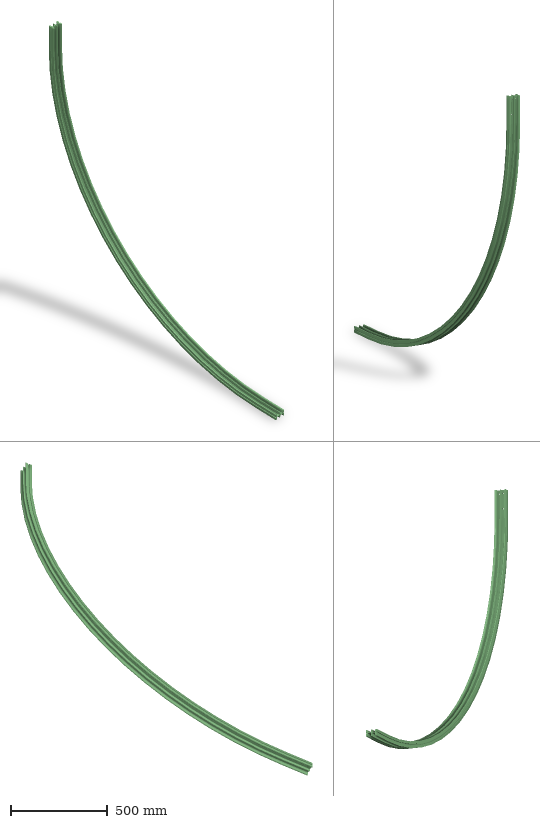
import cadquery as cq

overall = 1667.0
width = 62.0
depth = 35.0
straight = 150.0
bend_radius = overall - straight

flange_edge = 5.0
flange_tip = 7.5
flange_root = 10.8
tip_bevel_height = 2.0
rib_tip = 2.7
rib_root = 5.0
floor_thickness = 3.0
groove_width = 7.0
groove_depth = 5.0

hole_diameter = 7.0
hole_end_distance = 20.0
hole_pitch = 80.0
hole_y = 10.0

recess_length = 55.0
recess_width = 8.0
recess_depth = 2.0
recess_y = 12.0

half_width = width / 2
floor_outer = (depth - floor_thickness) / 2
floor_inner = floor_outer + floor_thickness
groove_start = (depth - groove_width) / 2
groove_end = groove_start + groove_width
second_hole_distance = hole_end_distance + hole_pitch
recess_end_distance = hole_end_distance + hole_pitch / 2


def section():
    """Track section where the upper straight meets the bend; x runs from outer to inner face."""
    flange_y = half_width - flange_edge
    tip_y = half_width - flange_tip
    root_y = half_width - flange_root
    groove_y = half_width - groove_depth
    positive_half = [
        (0, rib_tip / 2),
        (floor_outer, rib_root / 2),
        (floor_outer, root_y),
        (tip_bevel_height, tip_y),
        (0, flange_y),
        (0, half_width),
        (groove_start, half_width),
        (groove_start, groove_y),
        (groove_end, groove_y),
        (groove_end, half_width),
        (depth, half_width),
        (depth, flange_y),
        (depth - tip_bevel_height, tip_y),
        (floor_inner, root_y),
        (floor_inner, rib_root / 2),
        (depth, rib_tip / 2),
    ]
    negative_half = [(x, -y) for x, y in reversed(positive_half)]
    plane = cq.Workplane("XY", origin=(0, 0, bend_radius))
    return plane.polyline(positive_half + negative_half).close()


def floor_plane(y, end_distance):
    """Sketch plane on the outer floor face of the upper straight, facing into the floor."""
    return cq.Workplane("YZ", origin=(floor_outer, y, overall - end_distance))


def straight_end():
    """Upper straight with its floor holes."""
    end = section().extrude(straight)
    hole_places = [
        (hole_y, hole_end_distance),
        (-hole_y, hole_end_distance),
        (hole_y, second_hole_distance),
    ]
    for y, end_distance in hole_places:
        hole = floor_plane(y, end_distance).circle(hole_diameter / 2).extrude(floor_thickness)
        end = end.cut(hole)
    return end


def bend():
    """Quarter turn about the Y-parallel axis through the bend centre."""
    return section().revolve(90, (bend_radius, 0, 0), (bend_radius, -1, 0))


def recess():
    outline = floor_plane(recess_y, recess_end_distance).slot2D(recess_length, recess_width, 90)
    return outline.extrude(recess_depth)


upper_end = straight_end()

diagonal_normal = cq.Vector(1, 0, -1)
lower_end = upper_end.mirror(diagonal_normal)

result = upper_end.cut(recess()).union(bend()).union(lower_end)